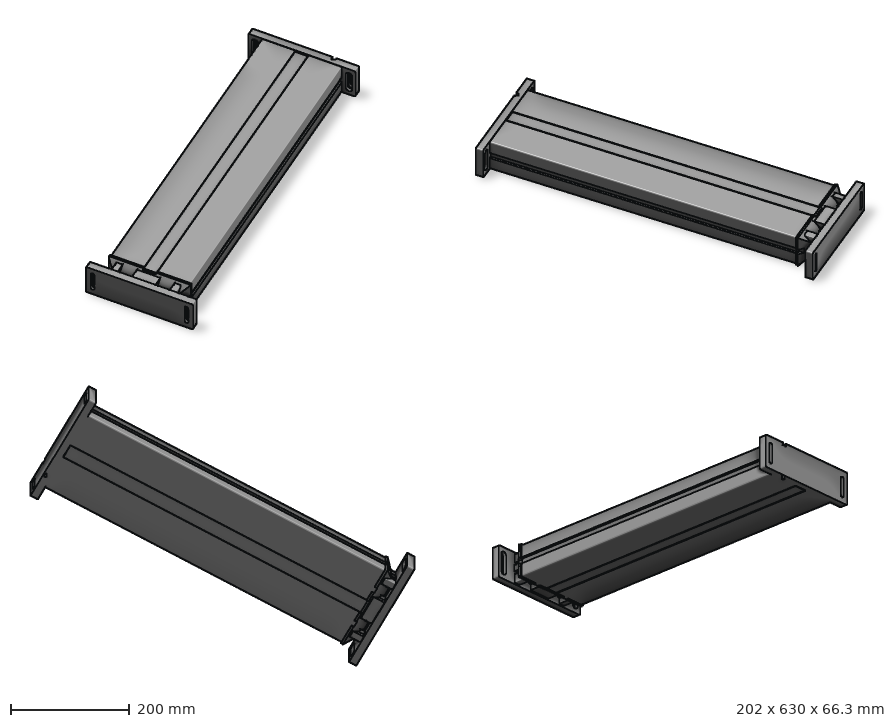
import cadquery as cq

total_length = 630.0
total_height = 66.27
plate_width = 202.0
plate_height = 60.0
plate_thickness = 14.0
plate_corner_radius = 3.0
fixed_plate_top_rise = 1.0

slot_spacing = 177.0
slot_width = 7.0
slot_length = 38.5
slot_recess_width = 12.0
slot_recess_length = 43.0
slot_recess_depth = 7.0

column_width = 151.0
column_height = plate_height
column_corner_radius = 3.0
center_groove_width = 24.6
center_groove_depth = 1.5
side_groove_mouth = 11.5
side_groove_floor = 10.6
side_groove_depth = 4.0

collar_start = 39.0
collar_thickness = 4.0
collar_width = 155.0
collar_height = column_height + 2 * fixed_plate_top_rise
nose_length = 22.5
nose_center_groove_depth = 2.0
nose_side_groove_depth = 8.0
nose_side_groove_width = 10.0
bottom_gap_inner = 30.0
bottom_gap_outer = 40.0
collar_end = collar_start + collar_thickness
column_front = collar_start + collar_thickness / 2

pin_x = 54.3
pin_diameter = 4.8
pin_setback = 3.2
pin_drop = total_height - plate_height - fixed_plate_top_rise
notch_diameter = 8.0
notch_setback = 2.0
notch_depth = 5.0

inner_width = 122.0
inner_height = 54.0
inner_corner_radius = 1.2
channel_inner_x = 22.0
channel_outer_x = 49.0
channel_shoulder_z = 16.5
channel_slant = 2.5
channel_step = 5.0
channel_floor_z = 7.0
side_channel_width = 21.0
side_channel_depth = 3.0
side_rail_width = 12.0
side_rail_proud = 1.3

fixed_plate_start = total_length - plate_thickness


def bar(width, height, start, end, corner_radius=0.0):
    """Rectangular bar centred on the Y axis, with optional rounded long edges."""
    body = cq.Workplane("XZ", origin=(0, start, 0)).rect(width, height).extrude(start - end)
    return body.edges("|Y").fillet(corner_radius) if corner_radius else body


def prism(points, start, end):
    """Outline of (x, z) points extruded along Y."""
    return cq.Workplane("XZ", origin=(0, start, 0)).polyline(points).close().extrude(start - end)


def slot_cutter(width, length, start, end):
    """Pair of upright slots running from start to end along Y."""
    return (
        cq.Workplane("XZ", origin=(0, start, 0))
        .pushPoints([(-slot_spacing / 2, 0), (slot_spacing / 2, 0)])
        .slot2D(length, width, 90)
        .extrude(start - end)
    )


def end_plate(start, recess_start, top_z):
    """Plate from the common bottom level up to top_z, with recessed mounting slots."""
    end = start + plate_thickness
    bottom_z = -plate_height / 2
    plate = bar(plate_width, top_z - bottom_z, start, end, plate_corner_radius)
    plate = plate.translate((0, 0, (top_z + bottom_z) / 2))
    plate = plate.cut(slot_cutter(slot_width, slot_length, start, end))
    recess_end = recess_start + slot_recess_depth
    return plate.cut(slot_cutter(slot_recess_width, slot_recess_length, recess_start, recess_end))


def block(x_start, x_end, start, end, z_start, z_end):
    """Box given by its limits along X, Y and Z."""
    return (
        cq.Workplane("XY", origin=(x_start, start, z_start))
        .box(x_end - x_start, end - start, z_end - z_start, centered=False)
    )


def channel(x_sign, z_sign, start, end):
    """Stepped channel between the middle land and an outer land of the inner column."""
    shoulder_end_z = channel_shoulder_z - channel_slant
    outline = [
        (channel_outer_x, inner_height / 2),
        (channel_outer_x, channel_shoulder_z),
        (channel_outer_x - channel_step, shoulder_end_z),
        (channel_outer_x - channel_step, channel_floor_z),
        (channel_inner_x + channel_step, channel_floor_z),
        (channel_inner_x + channel_step, shoulder_end_z),
        (channel_inner_x, channel_shoulder_z),
        (channel_inner_x, inner_height / 2),
    ]
    return prism([(x_sign * x, z_sign * z) for x, z in outline], start, end)


def side_block(sign, inner_x, outer_x, start, end, height):
    """Box centred on Z = 0 that covers inner_x to outer_x on the side given by sign."""
    low, high = sorted((sign * inner_x, sign * outer_x))
    return block(low, high, start, end, -height / 2, height / 2)


def inner_column(start, end):
    """Moving profile with four stepped channels and a rail inside each side channel."""
    body = bar(inner_width, inner_height, start, end, inner_corner_radius)
    wall_x = inner_width / 2
    channel_floor_x = wall_x - side_channel_depth
    for x_sign in (-1, 1):
        for z_sign in (-1, 1):
            body = body.cut(channel(x_sign, z_sign, start, end))
        body = body.cut(side_block(x_sign, channel_floor_x, wall_x, start, end, side_channel_width))
        rail_x = wall_x + side_rail_proud
        body = body.union(side_block(x_sign, channel_floor_x, rail_x, start, end, side_rail_width))
    return body


def tapered_nose():
    """Pyramid frustum with 45 degree sides narrowing toward the moving plate."""
    return (
        cq.Workplane("XZ", origin=(0, collar_start, 0))
        .rect(collar_width, collar_height)
        .workplane(offset=nose_length)
        .rect(collar_width - 2 * nose_length, collar_height - 2 * nose_length)
        .loft(ruled=True)
    )


def column_profile():
    """Outer column with shallow middle grooves and slanted side grooves along its full length."""
    body = bar(column_width, column_height, column_front, fixed_plate_start, column_corner_radius)
    half_groove = center_groove_width / 2
    for sign in (-1, 1):
        floor_z = column_height / 2 - center_groove_depth
        low, high = sorted((sign * floor_z, sign * column_height / 2))
        body = body.cut(block(-half_groove, half_groove, column_front, fixed_plate_start, low, high))
        outer_x = sign * column_width / 2
        floor_x = sign * (column_width / 2 - side_groove_depth)
        groove_points = [
            (outer_x, side_groove_mouth / 2),
            (floor_x, side_groove_floor / 2),
            (floor_x, -side_groove_floor / 2),
            (outer_x, -side_groove_mouth / 2),
        ]
        body = body.cut(prism(groove_points, column_front, fixed_plate_start))
    return body


def nose_cap():
    """Collar and nose, with their own grooves in line with those of the column."""
    body = bar(collar_width, collar_height, collar_start, column_front, column_corner_radius)
    body = body.union(tapered_nose())
    front = collar_start - nose_length
    half_groove = center_groove_width / 2
    outer_x = collar_width / 2
    for sign in (-1, 1):
        floor_z = collar_height / 2 - nose_center_groove_depth
        low, high = sorted((sign * floor_z, sign * collar_height / 2))
        body = body.cut(block(-half_groove, half_groove, front, column_front, low, high))
        floor_x = outer_x - nose_side_groove_depth
        body = body.cut(side_block(sign, floor_x, outer_x, front, column_front, nose_side_groove_width))
    return body


def collar_rim():
    """Rear part of the collar that wraps the column and stays clear of its grooves."""
    rim = bar(collar_width, collar_height, column_front, collar_end, column_corner_radius)
    rim = rim.cut(bar(column_width, column_height, column_front, collar_end, column_corner_radius))
    half_gap = center_groove_width / 2
    top = collar_height / 2
    rim = rim.cut(block(-half_gap, half_gap, column_front, collar_end, -top, top))
    half_width = collar_width / 2
    return rim.cut(block(-half_width, half_width, column_front, collar_end,
                         -side_groove_mouth / 2, side_groove_mouth / 2))


def bottom_gaps():
    """Openings through the lower lip of the collar and the nose edge in front of it."""
    lip = (collar_height - column_height) / 2
    mid_x = (bottom_gap_inner + bottom_gap_outer) / 2
    front = collar_start - lip
    return (
        cq.Workplane("XZ", origin=(0, front, 0))
        .pushPoints([(-mid_x, -collar_height / 2), (mid_x, -collar_height / 2)])
        .rect(bottom_gap_outer - bottom_gap_inner, 2 * lip)
        .extrude(front - collar_end)
    )


def upright_cylinder(diameter, setback, base_z, height):
    """Vertical cylinder whose axis lies the given distance in front of the rear face."""
    return (
        cq.Workplane("XY", origin=(pin_x, total_length - setback, base_z))
        .circle(diameter / 2)
        .extrude(height)
    )


pin_length = 2 * pin_drop

fixed_plate_top = plate_height / 2 + fixed_plate_top_rise
fixed_column = column_profile().union(nose_cap()).union(collar_rim())
fixed_column = fixed_column.cut(bottom_gaps())
fixed_column = fixed_column.cut(inner_column(plate_thickness, fixed_plate_start))
fixed_column = fixed_column.union(
    end_plate(fixed_plate_start, fixed_plate_start, fixed_plate_top)
)
fixed_column = fixed_column.cut(
    upright_cylinder(notch_diameter, notch_setback, fixed_plate_top - notch_depth, notch_depth)
)
fixed_column = fixed_column.union(
    upright_cylinder(pin_diameter, pin_setback, -plate_height / 2 - pin_drop, pin_length)
)

moving_column = end_plate(0, plate_thickness - slot_recess_depth, plate_height / 2)
moving_column = moving_column.union(inner_column(plate_thickness, fixed_plate_start))

result = cq.Compound.makeCompound([fixed_column.val(), moving_column.val()])